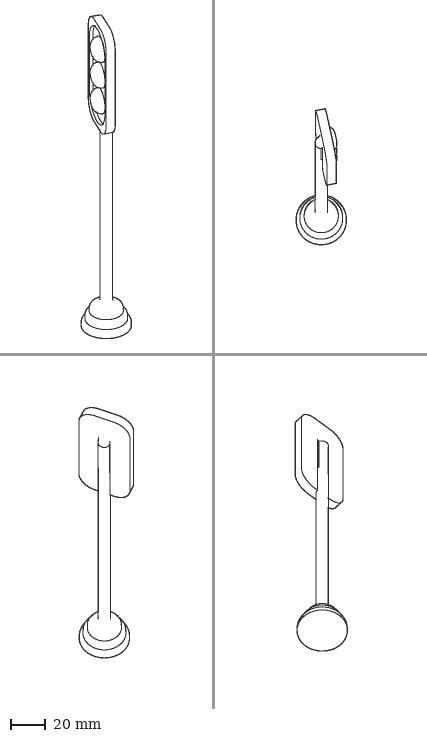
import cadquery as cq
import math

round_radius = 3.0

pole_radius = 7.19 / 2
pole_top = 183.1

disc_radii = [28.98 / 2, 24.67 / 2, 19.65 / 2]
first_rim_height = 2.0
disc_step = 5.0
base_top = first_rim_height + 2 * disc_step + round_radius

total_height = 205.26
head_width = 31.87
head_height = 69.4
head_corner_radius = 10.0
head_back_y = 0.1
head_thickness = 5.6
head_front_y = head_back_y - head_thickness
head_center_z = total_height - head_height / 2

bracket_bottom = 158.0
bracket_depth = 0.85

recess_width = 28.0
recess_height = 62.8
recess_depth = 2.1
recess_floor_y = head_front_y + recess_depth

lamp_count = 3
lamp_center_z = 170.4
lamp_pitch = 17.4
lamp_radius = 7.7
lamp_tip_radius = 2.5
lamp_height = lamp_radius - lamp_tip_radius


def front_plane(y, z):
    """Workplane facing -Y whose origin lies on the part's midplane."""
    return cq.Workplane("XZ", origin=(0, y, z))


def rounded_disc(radius, rim_height):
    """Solid of revolution from the ground up, with a quarter-round top edge."""
    top = rim_height + round_radius
    inner_radius = radius - round_radius
    diagonal = round_radius * math.sqrt(0.5)
    return (
        cq.Workplane("XZ")
        .lineTo(radius, 0)
        .lineTo(radius, rim_height)
        .threePointArc((inner_radius + diagonal, rim_height + diagonal), (inner_radius, top))
        .lineTo(0, top)
        .close()
        .revolve(360, (0, 0), (0, 1))
    )


def make_base():
    base = rounded_disc(disc_radii[0], first_rim_height)
    for level, radius in enumerate(disc_radii[1:], start=1):
        base = base.union(rounded_disc(radius, first_rim_height + level * disc_step))
    return base


def make_pole():
    """Pole with a concave flare where it meets the top of the base."""
    diagonal = round_radius * (1 - math.sqrt(0.5))
    flare_top = base_top + round_radius
    return (
        cq.Workplane("XZ")
        .lineTo(pole_radius + round_radius, 0)
        .lineTo(pole_radius + round_radius, base_top)
        .threePointArc((pole_radius + diagonal, base_top + diagonal), (pole_radius, flare_top))
        .lineTo(pole_radius, pole_top)
        .lineTo(0, pole_top)
        .close()
        .revolve(360, (0, 0), (0, 1))
    )


def make_head():
    return (
        front_plane(head_back_y, head_center_z)
        .rect(head_width, head_height)
        .extrude(head_thickness)
        .edges("|Y")
        .fillet(head_corner_radius)
    )


def make_bracket():
    """Pad as wide as the pole, with a concave blend from the pole's flat top up the head."""
    blend_top = pole_top + round_radius
    height = blend_top - bracket_bottom
    pad = cq.Workplane("XY", origin=(0, head_back_y, bracket_bottom)).box(
        2 * pole_radius, bracket_depth, height, centered=(True, False, False)
    )
    pole_end = cq.Workplane("XY", origin=(0, 0, bracket_bottom)).circle(pole_radius).extrude(height)
    diagonal = round_radius * (1 - math.sqrt(0.5))
    blend_end_y = head_back_y + round_radius
    side_profile = (
        cq.Workplane("YZ")
        .moveTo(head_back_y, bracket_bottom)
        .lineTo(blend_end_y, bracket_bottom)
        .lineTo(blend_end_y, pole_top)
        .threePointArc((head_back_y + diagonal, pole_top + diagonal), (head_back_y, blend_top))
        .close()
        .extrude(pole_radius, both=True)
    )
    return pad.union(pole_end).intersect(side_profile)


def make_recess():
    return (
        front_plane(recess_floor_y, head_center_z)
        .slot2D(recess_height, recess_width, 90)
        .extrude(recess_depth)
    )


def make_lamp(z):
    """Dome with a quarter-round side running from the recess floor to a flat tip."""
    diagonal = lamp_height * math.sqrt(0.5)
    tip_y = recess_floor_y - lamp_height
    return (
        cq.Workplane("XY", origin=(0, 0, z))
        .moveTo(0, recess_floor_y)
        .lineTo(lamp_radius, recess_floor_y)
        .threePointArc((lamp_tip_radius + diagonal, recess_floor_y - diagonal), (lamp_tip_radius, tip_y))
        .lineTo(0, tip_y)
        .close()
        .revolve(360, (0, 0), (0, 1))
    )


result = make_base().union(make_pole()).union(make_head()).union(make_bracket()).cut(make_recess())
for index in range(lamp_count):
    lamp_offset = (index - (lamp_count - 1) / 2) * lamp_pitch
    result = result.union(make_lamp(lamp_center_z + lamp_offset))